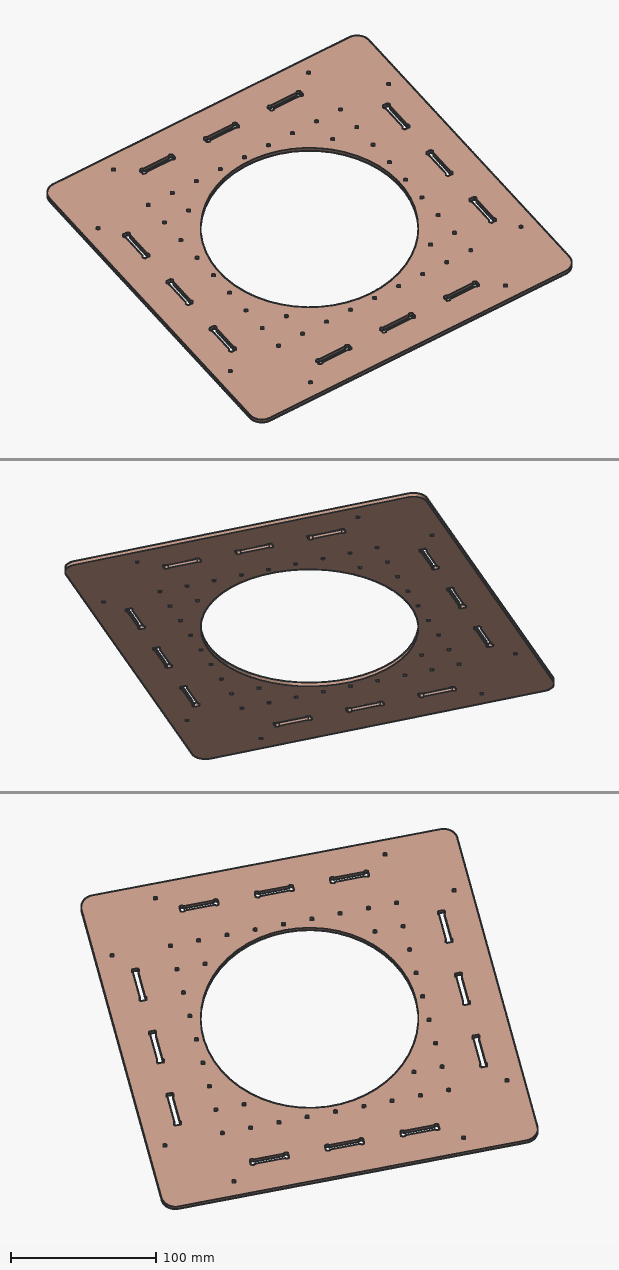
import cadquery as cq

plate_side = 266.0
plate_thickness = 3.2
corner_radius = 9.8
opening_diameter = 150.0

hole_diameter = 2.5
frame_side = 160.0
frame_intervals = 8
frame_pitch = frame_side / frame_intervals

edge_hole_diameter = 2.5
edge_hole_spacing = 162.5
edge_hole_offset = 121.0

slot_row_offset = 108.3
slot_pitch = 53.2
slots_per_side = 3
slot_length = 27.0
slot_width = 3.7
relief_diameter = 3.2
relief_bulge = 0.8

side_angles = (0, 90, 180, 270)


def through_cylinders(points, diameter):
    """Round cutters through the plate at the given points."""
    return cq.Workplane("XY").pushPoints(points).circle(diameter / 2).extrude(plate_thickness)


def on_every_side(cutter):
    """Copies of a cutter turned about Z onto all four sides of the plate."""
    copies = cq.Workplane("XY")
    for angle in side_angles:
        copies = copies.add(cutter.rotate((0, 0, 0), (0, 0, 1), angle).vals())
    return copies


def make_plate():
    """Square plate with rounded corners and a round central opening."""
    plate = cq.Workplane("XY").rect(plate_side, plate_side).extrude(plate_thickness)
    plate = plate.edges("|Z").fillet(corner_radius)
    return plate.cut(through_cylinders([(0, 0)], opening_diameter))


def frame_hole_cutters():
    """Holes along the frame sides, plus one hole set diagonally inside each frame corner."""
    half_side = frame_side / 2
    inner = half_side - frame_pitch
    points = [(i * frame_pitch - half_side, half_side) for i in range(frame_intervals)]
    points.append((inner, inner))
    return through_cylinders(points, hole_diameter)


def edge_hole_cutters():
    """Two mounting holes near the +Y edge."""
    points = [(x, edge_hole_offset) for x in (-edge_hole_spacing / 2, edge_hole_spacing / 2)]
    return through_cylinders(points, edge_hole_diameter)


def slot_cutters():
    """Row of slots near the +Y edge, with round corner reliefs that bulge from the long walls."""
    relief_x = (slot_length - relief_diameter) / 2
    relief_y = slot_width / 2 + relief_bulge - relief_diameter / 2
    cutters = cq.Workplane("XY")
    for i in range(slots_per_side):
        x = (i - (slots_per_side - 1) / 2) * slot_pitch
        bar = (
            cq.Workplane("XY")
            .center(x, slot_row_offset)
            .rect(slot_length, slot_width)
            .extrude(plate_thickness)
        )
        for x_sign in (-1, 1):
            for y_sign in (-1, 1):
                corner = (x + x_sign * relief_x, slot_row_offset + y_sign * relief_y)
                bar = bar.union(through_cylinders([corner], relief_diameter))
        cutters = cutters.add(bar.vals())
    return cutters


result = make_plate()
for side_cutter in (frame_hole_cutters(), edge_hole_cutters(), slot_cutters()):
    for cutter in on_every_side(side_cutter).vals():
        result = result.cut(cq.Workplane(cutter))